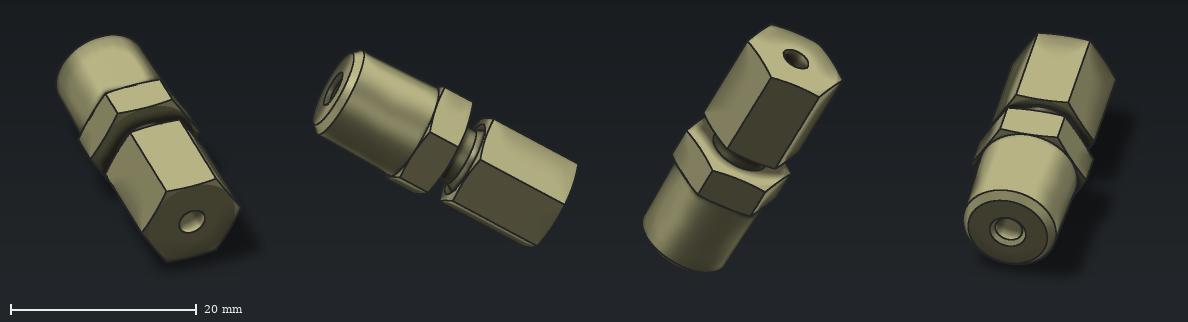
import cadquery as cq
import math


hex_start = 10.0
hex_length = 4.02
hex_end = hex_start + hex_length
total_length = 27.5
nut_length = 11.0
nut_start = total_length - nut_length
socket_depth = 7.98
spigot_end = nut_start + socket_depth

stub_end_diameter = 10.35
stub_root_diameter = 10.84
stub_chamfer = 0.8

hex_across_flats = 11.0
nut_across_flats = 10.0
corner_chamfer_angle = 15.0

neck_diameter = 6.44
cone_start = 16.0
cone_half_angle = 30.0
cone_slope = math.tan(math.radians(cone_half_angle))

mouth_diameter = 8.5
mouth_half_angle = 60.0
mouth_slope = math.tan(math.radians(mouth_half_angle))

cone_radius_at_nut_face = neck_diameter / 2 + (nut_start - cone_start) * cone_slope
mouth_depth = (mouth_diameter / 2 - cone_radius_at_nut_face) / (cone_slope + mouth_slope)
spigot_start = nut_start + mouth_depth
spigot_diameter = mouth_diameter - 2 * mouth_depth * mouth_slope

bore_diameter = 3.0
countersink_diameter = 4.0
countersink_depth = (countersink_diameter - bore_diameter) / 2


def revolved(profile):
    """Turn a closed profile of (x, radius) points about the X axis."""
    return cq.Workplane("XY").polyline(profile).close().revolve(360, (0, 0, 0), (1, 0, 0))


def cylinder(start, end, diameter):
    """Solid cylinder along X."""
    return cq.Workplane("YZ", origin=(start, 0, 0)).circle(diameter / 2).extrude(end - start)


def frustum(start, start_diameter, end, end_diameter):
    """Solid cone frustum along X."""
    return revolved([
        (start, 0),
        (start, start_diameter / 2),
        (end, end_diameter / 2),
        (end, 0),
    ])


def chamfered_hexagon(start, end, across_flats):
    """Hexagonal prism along X, flats facing +Z and -Z, corners turned down at both ends."""
    corner_radius = across_flats / math.sqrt(3)
    flat_radius = across_flats / 2
    chamfer = (corner_radius - flat_radius) * math.tan(math.radians(corner_chamfer_angle))
    prism = cq.Workplane("YZ", origin=(start, 0, 0)).polygon(6, 2 * corner_radius).extrude(end - start)
    envelope = revolved([
        (start, 0),
        (start, flat_radius),
        (start + chamfer, corner_radius),
        (end - chamfer, corner_radius),
        (end, flat_radius),
        (end, 0),
    ])
    return prism.intersect(envelope)


def make_connector():
    """Tapered stub, hexagon, neck and spigot in one piece, bored through."""
    stub = revolved([
        (0, 0),
        (0, stub_end_diameter / 2 - stub_chamfer),
        (stub_chamfer, stub_end_diameter / 2),
        (hex_start, stub_root_diameter / 2),
        (hex_start, 0),
    ])
    hexagon = chamfered_hexagon(hex_start, hex_end, hex_across_flats)
    neck_and_spigot = revolved([
        (hex_end, 0),
        (hex_end, neck_diameter / 2),
        (cone_start, neck_diameter / 2),
        (spigot_start, spigot_diameter / 2),
        (spigot_end, spigot_diameter / 2),
        (spigot_end, 0),
    ])
    bore = cylinder(0, spigot_end, bore_diameter)
    countersink = frustum(0, countersink_diameter, countersink_depth, bore_diameter)
    return stub.union(hexagon).union(neck_and_spigot).cut(bore).cut(countersink)


def make_nut():
    """Hexagonal nut with a countersunk socket for the spigot and a bore through its end wall."""
    body = chamfered_hexagon(nut_start, total_length, nut_across_flats)
    socket = cylinder(nut_start, spigot_end, spigot_diameter)
    bore = cylinder(spigot_end, total_length, bore_diameter)
    mouth = frustum(nut_start, mouth_diameter, spigot_start, spigot_diameter)
    return body.cut(socket).cut(mouth).cut(bore)


connector = make_connector()
nut = make_nut()

result = cq.Compound.makeCompound([connector.solids().val(), nut.solids().val()])